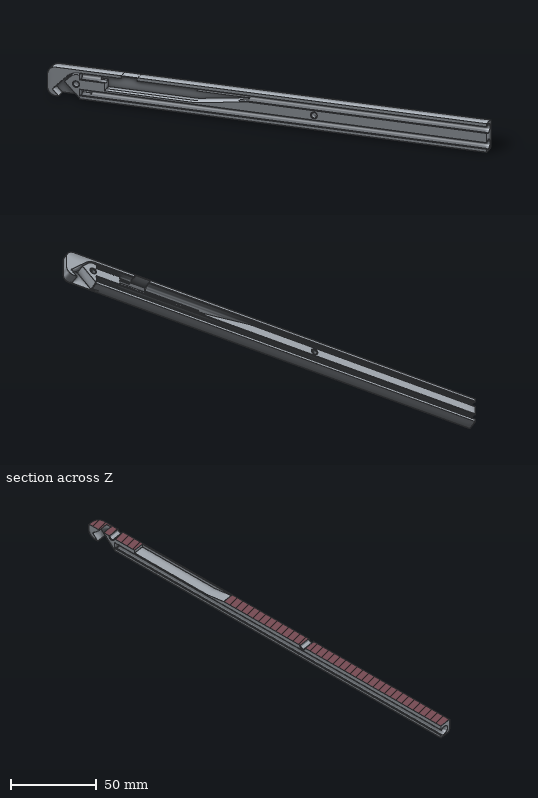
import cadquery as cq
import math

length = 270.3
thickness = 8.0
height = 18.0
half_height = height / 2

nose_radius = 5.0
back_edge_radius = 2.0

groove_offset = 5.0
groove_mouth = 3.4
mouth_chamfer = 0.4
groove_bore_diameter = 6.0
groove_bore_depth = 3.0
groove_start = 19.7
mouth_bottom = groove_offset - groove_mouth / 2
rib_edge = mouth_bottom - mouth_chamfer
lip_edge = groove_offset + groove_mouth / 2 + mouth_chamfer

cord_hole_diameter = 3.4
cord_hole_x = 21.5
countersink_diameter = 7.6
cone_overlap = 0.5

cross_hole_diameter = 3.4
cross_hole_chamfer = 0.4
cross_hole_positions = (17.6, 164.0)

hook_depth = 6.5
hook_tip_x = 3.1
hook_tip_z = -5.1
hook_corner_x = 9.7
hook_corner_z = hook_tip_z + hook_corner_x - hook_tip_x

channel_depth = 7.0
channel_width = 1.1
channel_outer_radius = 7.0

pocket_depth = 7.0
pocket_start = 31.3
pocket_floor_start = 35.2
window_start = 45.2
window_end = 55.3
window_top = 8.5
ledge_end = 90.3
ledge_z = 5.3
ramp_start = 90.8
ramp_end = 122.5
pocket_bottom = -1.85


def prism(points, depth):
    """Solid of an XZ outline, running from the working face into the bar."""
    return cq.Workplane("XZ").polyline(points).close().extrude(-depth)


def make_bar():
    """Bar with rounded nose corners, a rounded nose back and softened back edges."""
    bar = cq.Workplane("XY").box(length, thickness, height, centered=(False, False, True))
    bar = bar.edges("|Y and <X").fillet(nose_radius)
    plan = (
        cq.Workplane("XY")
        .lineTo(length, 0)
        .lineTo(length, thickness)
        .lineTo(nose_radius, thickness)
        .radiusArc((0, thickness - nose_radius), -nose_radius)
        .close()
        .extrude(half_height, both=True)
    )
    bar = bar.intersect(plan)
    return bar.edges("(|X and >Y) or %ELLIPSE").fillet(back_edge_radius)


def make_groove(z):
    """Round groove with a narrower, chamfered mouth, running along X at height z."""
    run = length - groove_start
    plane = cq.Workplane("YZ", origin=(groove_start, 0, z))
    bore = plane.center(groove_bore_depth, 0).circle(groove_bore_diameter / 2).extrude(run)
    half_mouth = groove_mouth / 2
    mouth = (
        plane.moveTo(0, half_mouth + mouth_chamfer)
        .lineTo(mouth_chamfer, half_mouth)
        .lineTo(groove_bore_depth, half_mouth)
        .lineTo(groove_bore_depth, -half_mouth)
        .lineTo(mouth_chamfer, -half_mouth)
        .lineTo(0, -half_mouth - mouth_chamfer)
        .close()
        .extrude(run)
    )
    return bore.union(mouth)


def make_hook_recess():
    """Recess with 45 degree edges, opening through the bottom of the nose."""
    lip_run = hook_tip_z + half_height
    return prism(
        [
            (hook_tip_x, hook_tip_z),
            (hook_corner_x, hook_corner_z),
            (groove_start, hook_corner_z - (groove_start - hook_corner_x)),
            (groove_start, -half_height),
            (hook_tip_x + lip_run, -half_height),
        ],
        hook_depth,
    )


def make_channel():
    """Channel rising at 45 degrees from the hook recess, then bending along the upper groove."""
    inner_z = lip_edge - channel_width
    inner_radius = channel_outer_radius - channel_width
    bend_x = hook_corner_x + lip_edge - hook_corner_z
    inner_bend_x = bend_x + channel_width * math.tan(math.pi / 8)
    outer_tangent = channel_outer_radius * math.tan(math.pi / 8)
    inner_tangent = inner_radius * math.tan(math.pi / 8)
    outer_rise = outer_tangent * math.sqrt(0.5)
    inner_rise = inner_tangent * math.sqrt(0.5)
    mouth_step = channel_width * math.sqrt(0.5)
    return (
        cq.Workplane("XZ")
        .moveTo(hook_corner_x, hook_corner_z)
        .lineTo(bend_x - outer_rise, lip_edge - outer_rise)
        .radiusArc((bend_x + outer_tangent, lip_edge), channel_outer_radius)
        .lineTo(pocket_start, lip_edge)
        .lineTo(pocket_start, inner_z)
        .lineTo(inner_bend_x + inner_tangent, inner_z)
        .radiusArc((inner_bend_x - inner_rise, inner_z - inner_rise), -inner_radius)
        .lineTo(hook_corner_x + mouth_step, hook_corner_z - mouth_step)
        .close()
        .extrude(-channel_depth)
    )


def make_pocket():
    """Stepped latch pocket with a raised window and a ramp at its far end."""
    return prism(
        [
            (pocket_start, rib_edge),
            (pocket_start, lip_edge),
            (window_start, lip_edge),
            (window_start, window_top),
            (window_end, window_top),
            (window_end, ledge_z),
            (ledge_end, ledge_z),
            (ledge_end, mouth_bottom),
            (ramp_end, mouth_bottom),
            (ramp_end, rib_edge),
            (ramp_start, pocket_bottom),
            (pocket_floor_start, pocket_bottom),
            (pocket_floor_start, rib_edge),
        ],
        pocket_depth,
    )


def make_cord_hole():
    """Cord hole through the back wall, flaring out towards the groove on its open side."""
    groove_floor = groove_bore_depth + groove_bore_diameter / 2
    back_radius = cord_hole_diameter / 2
    flare_radius = countersink_diameter / 2
    slope = (flare_radius - back_radius) / (thickness - groove_floor)
    flare_top = groove_floor - cone_overlap
    cone = (
        cq.Workplane("XY", origin=(cord_hole_x, 0, -groove_offset))
        .moveTo(0, flare_top)
        .lineTo(flare_radius + slope * cone_overlap, flare_top)
        .lineTo(back_radius, thickness)
        .lineTo(0, thickness)
        .close()
        .revolve(360, (0, 0, 0), (0, 1, 0))
    )
    open_side = (
        cq.Workplane("XY", origin=(groove_start, 0, -groove_offset))
        .rect(2 * countersink_diameter, 2 * thickness)
        .extrude(groove_mouth, both=True)
        .translate((countersink_diameter, 0, 0))
    )
    return cone.intersect(open_side)


def make_cross_hole(x):
    """Through hole with a chamfer at the working face."""
    radius = cross_hole_diameter / 2
    return (
        cq.Workplane("XY", origin=(x, 0, 0))
        .lineTo(radius + cross_hole_chamfer, 0)
        .lineTo(radius, cross_hole_chamfer)
        .lineTo(radius, thickness)
        .lineTo(0, thickness)
        .close()
        .revolve(360, (0, 0, 0), (0, 1, 0))
    )


result = make_bar()
for groove_z in (-groove_offset, groove_offset):
    result = result.cut(make_groove(groove_z))
result = result.cut(make_hook_recess())
result = result.cut(make_channel())
result = result.cut(make_pocket())
result = result.cut(make_cord_hole())
for hole_x in cross_hole_positions:
    result = result.cut(make_cross_hole(hole_x))